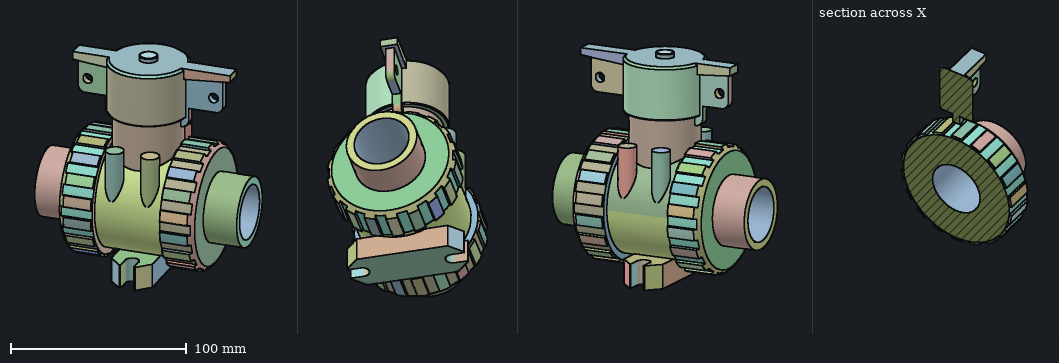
import cadquery as cq


pipe_length = 123.0
pipe_diameter = 41.2
bore_diameter = 32.0

body_radius = 32.2
neck_diameter = 41.2

nut_inner_x = 20.5
nut_outer_x = 41.1
nut_root_radius = 36.2
nut_tip_radius = 75.5 / 2
nut_chamfer = 3.4
tooth_count = 18
tooth_width = 6.7
tooth_setback = 0.4

boss_diameter = 10.7
boss_x = 10.8
boss_y = 25.8
boss_top = 37.7

foot_bottom = -43.6
foot_top = -29.1
foot_width = 25.0
foot_length = 68.5
foot_chamfer = 7.6
slot_width = 8.0
slot_center_y = 26.4

overall_height = 131.8
stem_top = foot_bottom + overall_height
stem_diameter = 10.4
stem_chamfer = 0.4
cap_radius = 23.9
cap_bottom = 53.8
cap_top = 85.4
cap_top_chamfer = 1.5
cap_bottom_chamfer = 0.7

bar_left = -44.3
bar_right = 51.7
bar_width = 10.1
bar_root_thickness = 6.6
bar_slope = 0.085

web_thickness = 5.0
web_left = -41.9
web_right = 46.3
web_bottom = 59.8
web_step_x = 25.4
web_step_bottom = 48.0
web_corner_radius = 4.2
web_hole_diameter = 5.5
web_hole_z = 68.7
web_hole_inset = 5.8


def x_cylinder(radius, x_start, x_end):
    return cq.Workplane("YZ").workplane(offset=x_start).circle(radius).extrude(x_end - x_start)


def z_cylinder(radius, z_start, z_end):
    return cq.Workplane("XY").workplane(offset=z_start).circle(radius).extrude(z_end - z_start)


def make_nut():
    """Union nut on the +X side: toothed rim with a conical outer edge."""
    nut = x_cylinder(nut_root_radius, nut_inner_x, nut_outer_x)
    tooth_start = nut_inner_x + tooth_setback
    tooth = (
        cq.Workplane("XY")
        .box(nut_outer_x - tooth_start, tooth_width, nut_tip_radius, centered=(False, True, False))
        .translate((tooth_start, 0, 0))
    )
    for index in range(tooth_count):
        nut = nut.union(tooth.rotate((0, 0, 0), (1, 0, 0), index * 360 / tooth_count))
    envelope = x_cylinder(nut_tip_radius, nut_inner_x, nut_outer_x).faces(">X").chamfer(nut_chamfer)
    return nut.intersect(envelope)


def make_foot():
    """Flat foot with bevelled corners and an open bolt slot at each Y end."""
    height = foot_top - foot_bottom
    foot = (
        cq.Workplane("XY")
        .workplane(offset=foot_bottom)
        .rect(foot_width, foot_length)
        .extrude(height)
        .edges("|Z")
        .chamfer(foot_chamfer)
    )
    for side in (-1, 1):
        slot_round = z_cylinder(slot_width / 2, foot_bottom, foot_top).translate((0, side * slot_center_y, 0))
        slot_mouth = (
            cq.Workplane("XY")
            .box(slot_width, slot_width * 2, height, centered=(True, True, False))
            .translate((0, side * (slot_center_y + slot_width), foot_bottom))
        )
        foot = foot.cut(slot_round).cut(slot_mouth)
    return foot


def make_cap():
    return (
        z_cylinder(cap_radius, cap_bottom, cap_top)
        .faces(">Z").chamfer(cap_top_chamfer)
        .faces("<Z").chamfer(cap_bottom_chamfer)
    )


def bar_bottom(x):
    """Height of the bar's sloping underside at a given X."""
    return cap_top - bar_root_thickness + bar_slope * (abs(x) - cap_radius)


def make_bar():
    return (
        cq.Workplane("XZ")
        .moveTo(bar_left, cap_top)
        .lineTo(bar_right, cap_top)
        .lineTo(bar_right, bar_bottom(bar_right))
        .lineTo(0, bar_bottom(0))
        .lineTo(bar_left, bar_bottom(bar_left))
        .close()
        .extrude(bar_width / 2, both=True)
    )


def web_plate(left, right, bottom):
    """Plate from a rounded lower edge up into the handle bar."""
    top = cap_top - bar_root_thickness / 2
    return (
        cq.Workplane("XY")
        .box(right - left, web_thickness, top - bottom, centered=(False, True, False))
        .translate((left, 0, bottom))
        .edges("|Y and <Z")
        .fillet(web_corner_radius)
    )


def make_web():
    web = web_plate(web_left, web_right, web_bottom)
    web = web.union(web_plate(-web_step_x, web_step_x, web_step_bottom))
    holes = (
        cq.Workplane("XZ")
        .pushPoints([(web_left + web_hole_inset, web_hole_z), (web_right - web_hole_inset, web_hole_z)])
        .circle(web_hole_diameter / 2)
        .extrude(web_thickness, both=True)
    )
    return web.cut(holes)


nut = make_nut()
valve = x_cylinder(pipe_diameter / 2, -pipe_length / 2, pipe_length / 2)
valve = valve.union(x_cylinder(body_radius, -nut_inner_x, nut_inner_x))
valve = valve.union(nut).union(nut.mirror("YZ"))

valve = valve.union(z_cylinder(neck_diameter / 2, 0, cap_bottom))
for x in (-boss_x, boss_x):
    for y in (-boss_y, boss_y):
        valve = valve.union(z_cylinder(boss_diameter / 2, 0, boss_top).translate((x, y, 0)))
valve = valve.union(make_foot())

stem = z_cylinder(stem_diameter / 2, cap_bottom, stem_top).faces(">Z").chamfer(stem_chamfer)
valve = valve.union(make_cap()).union(make_bar()).union(make_web()).union(stem)

result = valve.cut(x_cylinder(bore_diameter / 2, -pipe_length / 2, pipe_length / 2))